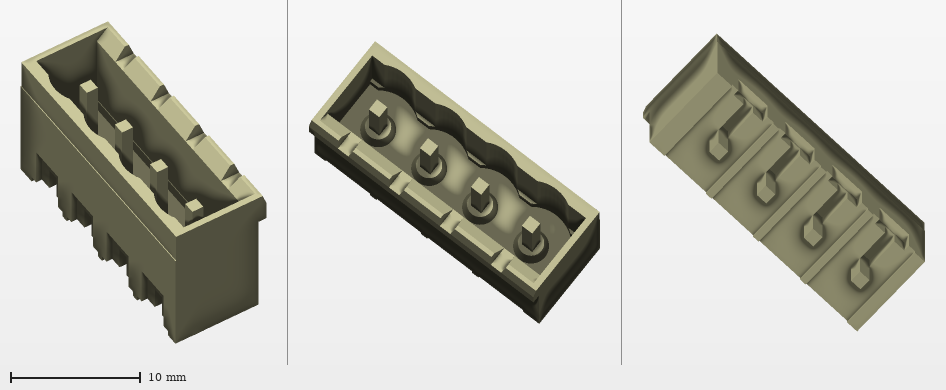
import cadquery as cq


length = 22.0
depth = 8.35
height = 12.01
front_y = -3.83
back_y = front_y + depth
collar_height = 2.68
collar_z = height - collar_height
front_setback = 0.07
rear_overhang = 0.73
rail_drop = 1.0
rail_outer_inset = 0.33

pin_count = 4
pitch = 5.0
pin_width = 1.01
pin_tail = 3.5
pin_top = height - 1.52
row_offset = 0.26
pin_xs = [row_offset + (i - (pin_count - 1) / 2) * pitch for i in range(pin_count)]

end_wall = 0.53
front_wall = 1.36
front_wall_top = 1.1
floor_z = 3.5
cavity_back_y = front_y + 6.6
rear_wall_step = 0.07
upper_back_y = cavity_back_y + rear_wall_step
rail_inner_y = front_y + 7.65
scallop_radius = 3.12
boss_base_radius = 1.39
boss_top_radius = 1.01
boss_height = 1.0
ledge_z = floor_z + boss_height

notch_floor_width = 1.01
notch_top_width = 1.4
notch_offset = -0.1

relief_width = 4.4
relief_height = 0.48
window_width = 3.1
window_depth = 0.53
window_front_z = 3.87
window_rear_z = 2.88
channel_top_z = 2.49


def box(x_min, x_max, y_min, y_max, z_min, z_max):
    """Box between the given limits."""
    size = (x_max - x_min, y_max - y_min, z_max - z_min)
    return cq.Workplane("XY").box(*size, centered=False).translate((x_min, y_min, z_min))


def side_prism(points, width, centre_x=0.0):
    """Prism along X from a closed outline of (Y, Z) points."""
    start = cq.Workplane("YZ", origin=(centre_x - width / 2, 0, 0))
    return start.polyline(points).close().extrude(width)


def housing():
    """Solid block with the stepped collar and the sloping rear edge."""
    outline = [
        (front_y, 0),
        (back_y - rear_overhang, 0),
        (back_y - rear_overhang, collar_z),
        (back_y, collar_z),
        (back_y, height - rail_drop),
        (back_y - rail_outer_inset, height),
        (front_y + front_setback, height),
        (front_y + front_setback, collar_z),
        (front_y, collar_z),
    ]
    return side_prism(outline, length)


def cavity():
    """Open-topped cavity: ledges front and rear, sloping rear lead-in, scallops at the pins."""
    outline = [
        (front_y + front_wall, floor_z),
        (cavity_back_y, floor_z),
        (cavity_back_y, ledge_z),
        (upper_back_y, ledge_z),
        (upper_back_y, height - rail_drop),
        (rail_inner_y, height),
        (front_y + front_wall_top, height),
        (front_y + front_wall_top, ledge_z),
        (front_y + front_wall, ledge_z),
    ]
    space = side_prism(outline, length - 2 * end_wall)
    for x in pin_xs:
        scallop = cq.Workplane("XY", origin=(x, 0, floor_z)).circle(scallop_radius).extrude(height - floor_z)
        wall_back_y = front_y + front_wall
        wall_zone = box(x - scallop_radius, x + scallop_radius, front_y, wall_back_y, floor_z, height)
        space = space.union(scallop.intersect(wall_zone))
    return space


def rail_notch(x):
    """Flat-bottomed V notch through the rear rail."""
    floor = height - rail_drop
    outline = [
        (x - notch_floor_width / 2, floor),
        (x + notch_floor_width / 2, floor),
        (x + notch_top_width / 2, height),
        (x - notch_top_width / 2, height),
    ]
    start = cq.Workplane("XZ", origin=(0, back_y, 0))
    return start.polyline(outline).close().extrude(back_y - upper_back_y)


def underside_cut(x):
    """Through relief, slope-topped front window and the channel back to the pin."""
    half_relief = relief_width / 2
    relief = box(x - half_relief, x + half_relief, front_y, back_y, 0, relief_height)
    window_back_y = front_y + window_depth
    outline = [
        (front_y, 0),
        (window_back_y, 0),
        (window_back_y, window_rear_z),
        (front_y, window_front_z),
    ]
    window = side_prism(outline, window_width, x)
    half_pin = pin_width / 2
    channel = box(x - half_pin, x + half_pin, front_y, -half_pin, 0, channel_top_z)
    return relief.union(window).union(channel)


def pin_and_boss(x):
    """Square pin with the tapered boss around it on the cavity floor."""
    half_pin = pin_width / 2
    pin = box(x - half_pin, x + half_pin, -half_pin, half_pin, -pin_tail, pin_top)
    base = cq.Workplane("XY", origin=(x, 0, floor_z)).circle(boss_base_radius)
    boss = base.workplane(offset=boss_height).circle(boss_top_radius).loft()
    return pin.union(boss)


result = housing().cut(cavity())
for pin_x in pin_xs:
    result = result.cut(rail_notch(pin_x + notch_offset))
    result = result.cut(underside_cut(pin_x))
    result = result.union(pin_and_boss(pin_x))